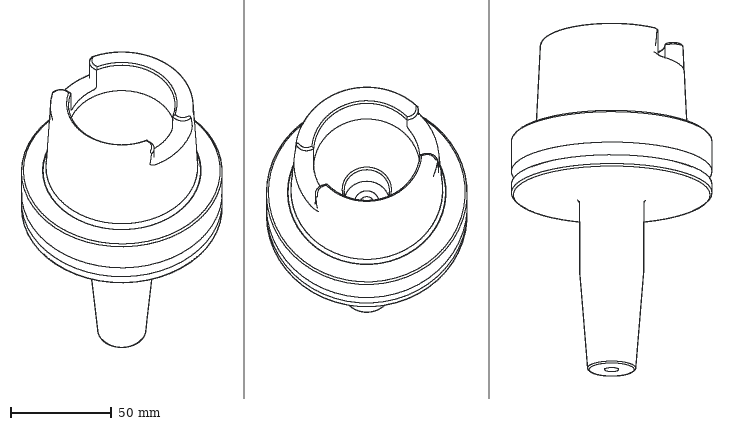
import cadquery as cq
import math


SHANK_LENGTH = 50.0
SHANK_GAUGE_RADIUS = 75.0 / 2
SHANK_GAUGE_Z = 10.0
TAPER_SLOPE = 1 / 20
SHANK_BASE_Z = 2.6
SHANK_BASE_RADIUS = SHANK_GAUGE_RADIUS + (SHANK_GAUGE_Z - SHANK_BASE_Z) * TAPER_SLOPE
RIM_FILLET = 2.0

NECK_RADIUS = 75.36 / 2
NECK_TOP_Z = 2.0
NECK_FILLET = 1.0
FACE_RECESS_DEPTH = 0.3
FACE_RECESS_RADIUS = 39.5

FLANGE_RADIUS = 50.0
FLANGE_BOTTOM_Z = -29.0
FLANGE_CHAMFER = 1.0
GROOVE_RADIUS = 46.0
GROOVE_CENTER_Z = -20.125
GROOVE_FLOOR_WIDTH = 3.5
GROOVE_MOUTH_WIDTH = 6.6
GROOVE_ROOT_FILLET = 1.0

NOSE_END_Z = -120.0
NOSE_RADIUS = 16.0
NOSE_ROOT_FILLET = 5.0
NOSE_TIP_RADIUS = 12.0
NOSE_TAPER_ANGLE = 4.5
NOSE_TAPER_LENGTH = (NOSE_RADIUS - NOSE_TIP_RADIUS) / math.tan(math.radians(NOSE_TAPER_ANGLE))
NOSE_TIP_CHAMFER = 0.75

MOUTH_RADIUS = 53.0 / 2
MOUTH_LIP_DEPTH = 20.0
MOUTH_LIP_ANGLE = 30.0
CAVITY_RADIUS = 63.0 / 2
CAVITY_WALL_DEPTH = 40.0
CAVITY_FLOOR_FILLET = 6.75
MOUTH_CHAMFER = 1.0

SEAT_RADIUS = 22.5 / 2
SEAT_CHAMFER = 1.0
SEAT_DEPTH = 15.0
CONE_RADIUS = 12.0 / 2
CONE_ANGLE = 118.0
THROUGH_RADIUS = 7.0 / 2

SLOT_HALF_WIDTH = 10.0
SLOT_SHOULDER_X = 32.0
SLOT_CORNER_RADIUS = 5.4
SLOT_FLOOR_FILLET = 2.0
SLOT_EDGE_CHAMFER = 1.2
SLOT_DEPTHS = {-1: 15.0, 1: 10.0}
SLOT_REACH = 60.0
SLOT_FLARE_LENGTH = 20.0

SELECTION_MARGIN = 0.1


def point_on_circle(center, radius, angle):
    """Point on a circle at an angle in degrees from the first axis."""
    radians = math.radians(angle)
    return (center[0] + radius * math.cos(radians), center[1] + radius * math.sin(radians))


def make_body():
    """Solid of revolution for shank, flange and nose."""
    shank_top_radius = SHANK_BASE_RADIUS - (SHANK_LENGTH - SHANK_BASE_Z) * TAPER_SLOPE
    groove_upper_floor = GROOVE_CENTER_Z + GROOVE_FLOOR_WIDTH / 2
    groove_lower_floor = GROOVE_CENTER_Z - GROOVE_FLOOR_WIDTH / 2
    recess_floor_radius = FACE_RECESS_RADIUS - FACE_RECESS_DEPTH
    neck_center = (NECK_RADIUS + NECK_FILLET, NECK_FILLET - FACE_RECESS_DEPTH)
    root_center = (NOSE_RADIUS + NOSE_ROOT_FILLET, FLANGE_BOTTOM_Z - NOSE_ROOT_FILLET)
    profile = (
        cq.Workplane("XZ")
        .moveTo(0, SHANK_LENGTH)
        .lineTo(shank_top_radius, SHANK_LENGTH)
        .lineTo(SHANK_BASE_RADIUS, SHANK_BASE_Z)
        .lineTo(NECK_RADIUS, NECK_TOP_Z)
        .lineTo(*point_on_circle(neck_center, NECK_FILLET, 180))
        .threePointArc(
            point_on_circle(neck_center, NECK_FILLET, 225),
            point_on_circle(neck_center, NECK_FILLET, 270),
        )
        .lineTo(recess_floor_radius, -FACE_RECESS_DEPTH)
        .lineTo(FACE_RECESS_RADIUS, 0)
        .lineTo(FLANGE_RADIUS - FLANGE_CHAMFER, 0)
        .lineTo(FLANGE_RADIUS, -FLANGE_CHAMFER)
        .lineTo(FLANGE_RADIUS, GROOVE_CENTER_Z + GROOVE_MOUTH_WIDTH / 2)
        .lineTo(GROOVE_RADIUS, groove_upper_floor)
        .lineTo(GROOVE_RADIUS, groove_lower_floor)
        .lineTo(FLANGE_RADIUS, GROOVE_CENTER_Z - GROOVE_MOUTH_WIDTH / 2)
        .lineTo(FLANGE_RADIUS, FLANGE_BOTTOM_Z + FLANGE_CHAMFER)
        .lineTo(FLANGE_RADIUS - FLANGE_CHAMFER, FLANGE_BOTTOM_Z)
        .lineTo(*point_on_circle(root_center, NOSE_ROOT_FILLET, 90))
        .threePointArc(
            point_on_circle(root_center, NOSE_ROOT_FILLET, 135),
            point_on_circle(root_center, NOSE_ROOT_FILLET, 180),
        )
        .lineTo(NOSE_RADIUS, NOSE_END_Z + NOSE_TAPER_LENGTH)
        .lineTo(NOSE_TIP_RADIUS, NOSE_END_Z)
        .lineTo(0, NOSE_END_Z)
        .close()
    )
    body = profile.revolve(360, (0, 0, 0), (0, 1, 0))
    box_reach = GROOVE_RADIUS + SELECTION_MARGIN
    groove_roots = cq.selectors.BoxSelector(
        (-box_reach, -box_reach, groove_lower_floor - SELECTION_MARGIN),
        (box_reach, box_reach, groove_upper_floor + SELECTION_MARGIN),
        boundingbox=True,
    )
    body = body.edges(groove_roots).edges("%CIRCLE").fillet(GROOVE_ROOT_FILLET)
    body = body.faces(">Z").edges().fillet(RIM_FILLET)
    return body.faces("<Z").edges().chamfer(NOSE_TIP_CHAMFER)


def make_cavity():
    """Revolved clamping cavity, seat and through hole."""
    lip_z = SHANK_LENGTH - MOUTH_LIP_DEPTH
    lip_drop = (CAVITY_RADIUS - MOUTH_RADIUS) * math.tan(math.radians(MOUTH_LIP_ANGLE))
    wall_end_z = SHANK_LENGTH - CAVITY_WALL_DEPTH
    floor_z = wall_end_z - CAVITY_FLOOR_FILLET
    floor_fillet_center = (CAVITY_RADIUS - CAVITY_FLOOR_FILLET, wall_end_z)
    cone_depth = (CONE_RADIUS - THROUGH_RADIUS) / math.tan(math.radians(CONE_ANGLE / 2))
    seat_floor_z = floor_z - SEAT_DEPTH
    profile = (
        cq.Workplane("XZ")
        .moveTo(0, SHANK_LENGTH)
        .lineTo(MOUTH_RADIUS + MOUTH_CHAMFER, SHANK_LENGTH)
        .lineTo(MOUTH_RADIUS, SHANK_LENGTH - MOUTH_CHAMFER)
        .lineTo(MOUTH_RADIUS, lip_z)
        .lineTo(CAVITY_RADIUS, lip_z - lip_drop)
        .lineTo(CAVITY_RADIUS, wall_end_z)
        .threePointArc(
            point_on_circle(floor_fillet_center, CAVITY_FLOOR_FILLET, -45),
            point_on_circle(floor_fillet_center, CAVITY_FLOOR_FILLET, -90),
        )
        .lineTo(SEAT_RADIUS + SEAT_CHAMFER, floor_z)
        .lineTo(SEAT_RADIUS, floor_z - SEAT_CHAMFER)
        .lineTo(SEAT_RADIUS, seat_floor_z)
        .lineTo(CONE_RADIUS, seat_floor_z)
        .lineTo(THROUGH_RADIUS, seat_floor_z - cone_depth)
        .lineTo(THROUGH_RADIUS, NOSE_END_Z)
        .lineTo(0, NOSE_END_Z)
        .close()
    )
    return profile.revolve(360, (0, 0, 0), (0, 1, 0))


def slot_outline(z):
    """Slot plan on the +X side: parallel walls that round outwards to a line tangent to the shank."""
    center_x = SLOT_SHOULDER_X - SLOT_CORNER_RADIUS
    center_y = SLOT_HALF_WIDTH + SLOT_CORNER_RADIUS
    end_angle = math.degrees(math.atan2(center_y, center_x))
    mid_angle = (end_angle - 90) / 2
    mid_x, mid_y = point_on_circle((center_x, center_y), SLOT_CORNER_RADIUS, mid_angle)
    end_x, end_y = point_on_circle((center_x, center_y), SLOT_CORNER_RADIUS, end_angle)
    flare_x, flare_y = point_on_circle((end_x, end_y), SLOT_FLARE_LENGTH, end_angle + 90)
    return (
        cq.Workplane("XY", origin=(0, 0, z))
        .moveTo(0, -SLOT_HALF_WIDTH)
        .lineTo(center_x, -SLOT_HALF_WIDTH)
        .threePointArc((mid_x, -mid_y), (end_x, -end_y))
        .lineTo(flare_x, -flare_y)
        .lineTo(SLOT_REACH, -flare_y)
        .lineTo(SLOT_REACH, flare_y)
        .lineTo(flare_x, flare_y)
        .lineTo(end_x, end_y)
        .threePointArc((mid_x, mid_y), (center_x, SLOT_HALF_WIDTH))
        .lineTo(0, SLOT_HALF_WIDTH)
        .close()
    )


def make_slot(side, depth):
    """Cutter for one drive slot with a rounded floor edge and a chamfered upper edge."""
    floor_z = SHANK_LENGTH - depth
    slot = slot_outline(floor_z).extrude(depth)
    wall_feet = cq.selectors.BoxSelector(
        (SELECTION_MARGIN, -SLOT_REACH, floor_z - SELECTION_MARGIN),
        (SLOT_SHOULDER_X, SLOT_REACH, floor_z + SELECTION_MARGIN),
    )
    slot = slot.edges(wall_feet).fillet(SLOT_FLOOR_FILLET)
    upper_edge = slot_outline(SHANK_LENGTH - SLOT_EDGE_CHAMFER).extrude(SLOT_EDGE_CHAMFER, taper=-45)
    slot = slot.union(upper_edge)
    if side < 0:
        slot = slot.mirror("YZ")
    return slot


result = make_body().cut(make_cavity())
for slot_side, slot_depth in SLOT_DEPTHS.items():
    result = result.cut(make_slot(slot_side, slot_depth))